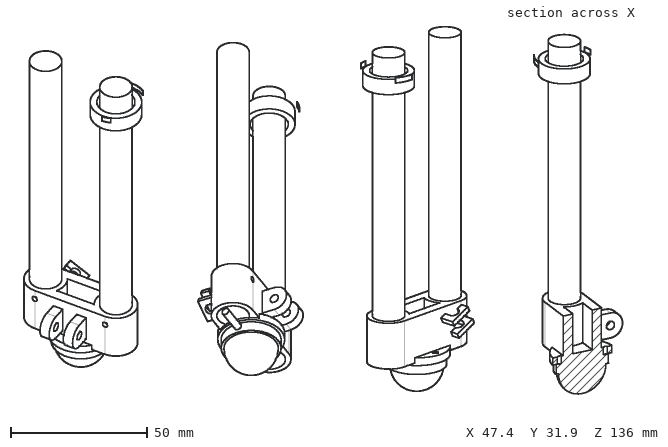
import cadquery as cq
import math

OVERALL_HEIGHT = 136.0
ROD_SPACING = 29.9
LEFT_X = -ROD_SPACING / 2
RIGHT_X = ROD_SPACING / 2
ROD_DIAMETER = 12.0

DOME_DIAMETER = 20.0
COLLAR_DIAMETER = 22.0
COLLAR_HEIGHT = 4.0
COLLAR_BOTTOM = DOME_DIAMETER / 2
COLLAR_TOP = COLLAR_BOTTOM + COLLAR_HEIGHT
SIDE_PIN_DIAMETER = 2.7
SIDE_PIN_REACH = 21.4

PAD_DIAMETER = 24.6
PAD_BELOW_BRACKET = 1.0
PAD_INSIDE_BRACKET = 2.0
PAD_TOP = COLLAR_TOP + PAD_BELOW_BRACKET + PAD_INSIDE_BRACKET
PAD_HOLE_DIAMETER = 2.0
PAD_HOLE_OFFSET = 9.5

SLEEVE_DIAMETER = 16.0
SLEEVE_RADIUS = SLEEVE_DIAMETER / 2
BRACKET_HEIGHT = 18.0
BRACKET_BOTTOM = COLLAR_TOP + PAD_BELOW_BRACKET
BRACKET_TOP = BRACKET_BOTTOM + BRACKET_HEIGHT
WALL_THICKNESS = 4.1
SET_SCREW_DIAMETER = 2.0
SET_SCREW_DEPTH_FROM_TOP = 4.0

EAR_RADIUS = 5.0
EAR_THICKNESS = 4.0
EAR_GAP = 6.0
EAR_HOLE_DIAMETER = 3.3
EAR_HOLE_Y = -12.9
EAR_Z = BRACKET_BOTTOM + BRACKET_HEIGHT / 2

HOOK_TILT = 25.0
HOOK_LENGTH = 9.0
HOOK_THICKNESS = 2.0
HOOK_PITCH = 6.0
HOOK_PAIR_X = -10.2
HOOK_PAIR_Z = 27.2
HOOK_HEAD_INNER_Y = 10.7
HOOK_TIP_Y = 14.0
HOOK_NOTCH_DIAMETER = 4.0
HOOK_ROOT_OVERLAP = 0.7

RING_OUTER_DIAMETER = 19.0
RING_INNER_DIAMETER = 14.0
RING_HEIGHT = 6.0
RING_TOP = 128.9
STRIP_INNER_RADIUS = 11.0
STRIP_THICKNESS = 0.2
STRIP_HEIGHT = 2.0
STRIP_BELOW_RING_TOP = 1.0
STRIP_BOTTOM = RING_TOP - STRIP_BELOW_RING_TOP
STRIP_ANGLES = [(57.0, 94.0), (-87.0, -70.0)]


def cylinder(x, y, bottom, diameter, height):
    """Upright cylinder standing on the level `bottom`."""
    return cq.Workplane("XY", origin=(x, y, bottom)).circle(diameter / 2).extrude(height)


def make_dome():
    """Half ball hanging under a short collar, with a pin pointing to -X under the pad."""
    radius = DOME_DIAMETER / 2
    half_section = (
        cq.Workplane("XZ")
        .moveTo(0, 0)
        .threePointArc(
            (radius * math.sin(math.pi / 4), radius * (1 - math.cos(math.pi / 4))),
            (radius, COLLAR_BOTTOM),
        )
        .lineTo(COLLAR_DIAMETER / 2, COLLAR_BOTTOM)
        .lineTo(COLLAR_DIAMETER / 2, COLLAR_TOP)
        .lineTo(0, COLLAR_TOP)
        .close()
    )
    dome = half_section.revolve(360, (0, 0, 0), (0, 1, 0))
    pin_z = COLLAR_TOP - SIDE_PIN_DIAMETER / 2
    side_pin = (
        cq.Workplane("YZ", origin=(-SIDE_PIN_REACH, 0, pin_z))
        .circle(SIDE_PIN_DIAMETER / 2)
        .extrude(SIDE_PIN_REACH)
    )
    return dome.union(side_pin)


def make_pad():
    """Round pad with a screw hole on each side of the bracket."""
    height = PAD_TOP - COLLAR_TOP
    pad = cylinder(0, 0, COLLAR_TOP, PAD_DIAMETER, height)
    for y in (-PAD_HOLE_OFFSET, PAD_HOLE_OFFSET):
        pad = pad.cut(cylinder(0, y, COLLAR_TOP, PAD_HOLE_DIAMETER, height))
    return pad


def make_bracket():
    """Two sleeves joined by a wall along each side, with the pad closing the gap from below."""
    bracket = make_pad()
    wall_offset = (SLEEVE_DIAMETER - WALL_THICKNESS) / 2
    for wall_y in (-wall_offset, wall_offset):
        wall = (
            cq.Workplane("XY", origin=(0, wall_y, BRACKET_BOTTOM))
            .rect(ROD_SPACING, WALL_THICKNESS)
            .extrude(BRACKET_HEIGHT)
        )
        bracket = bracket.union(wall)
    for x in (LEFT_X, RIGHT_X):
        bracket = bracket.union(cylinder(x, 0, BRACKET_BOTTOM, SLEEVE_DIAMETER, BRACKET_HEIGHT))
    return bracket


def make_ear(start_x):
    """Round-ended ear with a cross hole, standing out from the -Y wall."""
    root_y = -SLEEVE_RADIUS + WALL_THICKNESS / 2
    return (
        cq.Workplane("YZ", origin=(start_x, 0, EAR_Z))
        .moveTo(root_y, EAR_RADIUS)
        .lineTo(EAR_HOLE_Y, EAR_RADIUS)
        .threePointArc((EAR_HOLE_Y - EAR_RADIUS, 0), (EAR_HOLE_Y, -EAR_RADIUS))
        .lineTo(root_y, -EAR_RADIUS)
        .close()
        .moveTo(EAR_HOLE_Y, 0)
        .circle(EAR_HOLE_DIAMETER / 2)
        .extrude(EAR_THICKNESS)
    )


def make_hook(side):
    """L-shaped hook of the tilted pair: side 1 is the upper one, with its leg at the +X end."""
    tilt = math.radians(HOOK_TILT)
    across = (math.sin(tilt), 0, math.cos(tilt))
    along = (math.cos(tilt), 0, -math.sin(tilt))
    shift = side * HOOK_PITCH / 2
    plane = cq.Plane(
        origin=(HOOK_PAIR_X + shift * across[0], 0, HOOK_PAIR_Z + shift * across[2]),
        xDir=along,
        normal=across,
    )
    half_length = side * HOOK_LENGTH / 2
    notch_radius = HOOK_NOTCH_DIAMETER / 2
    leg_inner = side * notch_radius
    root_y = SLEEVE_RADIUS - HOOK_ROOT_OVERLAP
    return (
        cq.Workplane(plane)
        .moveTo(half_length, root_y)
        .lineTo(half_length, HOOK_TIP_Y)
        .lineTo(-half_length, HOOK_TIP_Y)
        .lineTo(-half_length, HOOK_HEAD_INNER_Y)
        .lineTo(-leg_inner, HOOK_HEAD_INNER_Y)
        .threePointArc((0, HOOK_HEAD_INNER_Y + notch_radius), (leg_inner, HOOK_HEAD_INNER_Y))
        .lineTo(leg_inner, root_y)
        .close()
        .extrude(HOOK_THICKNESS / 2, both=True)
    )


def make_frame():
    """Bracket, ears, hooks, pad and dome as one body, bored for the two rods."""
    frame = make_bracket().union(make_dome())
    for start_x in (-EAR_GAP / 2 - EAR_THICKNESS, EAR_GAP / 2):
        frame = frame.union(make_ear(start_x))
    for side in (-1, 1):
        frame = frame.union(make_hook(side))
    set_screw_z = BRACKET_TOP - SET_SCREW_DEPTH_FROM_TOP
    for x in (LEFT_X, RIGHT_X):
        rod_bore = cylinder(x, 0, BRACKET_BOTTOM, ROD_DIAMETER, BRACKET_HEIGHT)
        set_screw_hole = (
            cq.Workplane("XZ", origin=(x, 0, set_screw_z))
            .circle(SET_SCREW_DIAMETER / 2)
            .extrude(SLEEVE_RADIUS)
        )
        frame = frame.cut(rod_bore).cut(set_screw_hole)
    return frame


def make_rod(x):
    """Plain rod standing through its sleeve, flush with the underside of the bracket."""
    return cylinder(x, 0, BRACKET_BOTTOM, ROD_DIAMETER, OVERALL_HEIGHT - BRACKET_BOTTOM)


def make_ring():
    """Ring around the right rod with an open gap to it."""
    return (
        cq.Workplane("XY", origin=(RIGHT_X, 0, RING_TOP - RING_HEIGHT))
        .circle(RING_OUTER_DIAMETER / 2)
        .circle(RING_INNER_DIAMETER / 2)
        .extrude(RING_HEIGHT)
    )


def make_strip(start_angle, end_angle):
    """Thin curved strip concentric with the ring."""

    def point(radius, angle):
        return (radius * math.cos(math.radians(angle)), radius * math.sin(math.radians(angle)))

    inner = STRIP_INNER_RADIUS
    outer = STRIP_INNER_RADIUS + STRIP_THICKNESS
    middle_angle = (start_angle + end_angle) / 2
    return (
        cq.Workplane("XY", origin=(RIGHT_X, 0, STRIP_BOTTOM))
        .moveTo(*point(inner, start_angle))
        .threePointArc(point(inner, middle_angle), point(inner, end_angle))
        .lineTo(*point(outer, end_angle))
        .threePointArc(point(outer, middle_angle), point(outer, start_angle))
        .close()
        .extrude(STRIP_HEIGHT)
    )


frame = make_frame()
rods = [make_rod(x) for x in (LEFT_X, RIGHT_X)]
ring = make_ring()
strips = [make_strip(start, end) for start, end in STRIP_ANGLES]

result = cq.Compound.makeCompound(
    [
        frame.val(),
        *[rod.val() for rod in rods],
        ring.val(),
        *[strip.val() for strip in strips],
    ]
)